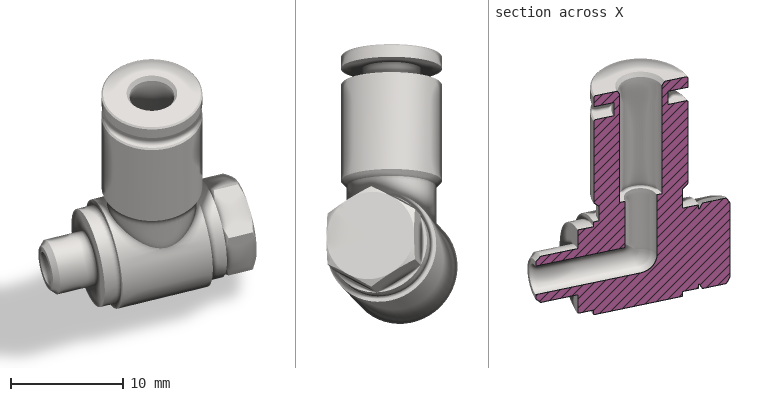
import cadquery as cq
import math

body_diameter = 10.0
body_front_y = -4.51
body_back_y = 4.0
flange_diameter = 9.0
flange_length = 1.5

stud_diameter = 5.0
stud_length = 4.0
stud_chamfer = 0.5

hex_across_flats = 8.0
hex_height = 2.98
hex_chamfer_angle = 30.0

overall_height = 23.5
top_z = overall_height - body_diameter / 2
stem_diameter = 8.0
sleeve_diameter = 9.0
sleeve_bottom_z = 6.5
sleeve_top_z = 15.93
neck_diameter = 5.2
collar_thickness = 1.2
rim_chamfer = 0.15

passage_diameter = 3.0
tube_socket_diameter = 4.0
socket_entry_diameter = 4.51
socket_entry_depth = 0.4
socket_bottom_z = sleeve_bottom_z

flange_front_y = body_front_y - flange_length
stud_end_y = flange_front_y - stud_length
flange_back_y = body_back_y + flange_length


def cylinder_y(diameter, start_y, end_y):
    """Cylinder on the Y axis between two Y positions."""
    plane = cq.Workplane("XZ", origin=(0, start_y, 0))
    return plane.circle(diameter / 2).extrude(start_y - end_y)


def cylinder_z(diameter, bottom_z, top):
    """Cylinder on the Z axis between two Z positions."""
    return cq.Workplane("XY").workplane(offset=bottom_z).circle(diameter / 2).extrude(top - bottom_z)


def make_body():
    """Banjo body with its two flanges and the stud."""
    barrel = cylinder_y(body_diameter, body_front_y, body_back_y)
    flanges = cylinder_y(flange_diameter, flange_front_y, flange_back_y)
    stud = cylinder_y(stud_diameter, stud_end_y, flange_front_y)
    stud = stud.faces("<Y").chamfer(stud_chamfer)
    return barrel.union(flanges).union(stud)


def make_hex_head():
    """Hexagon with corners up and down, bevelled conically at both ends."""
    flat_radius = hex_across_flats / 2
    corner_radius = flat_radius / math.cos(math.radians(30))
    bevel_height = (corner_radius - flat_radius) * math.tan(math.radians(hex_chamfer_angle))
    end_y = flange_back_y + hex_height
    corners = [
        (
            corner_radius * math.sin(math.radians(60 * i)),
            corner_radius * math.cos(math.radians(60 * i)),
        )
        for i in range(6)
    ]
    plane = cq.Workplane("XZ", origin=(0, flange_back_y, 0))
    prism = plane.polyline(corners).close().extrude(-hex_height)
    bevel_profile = [
        (0, flange_back_y),
        (flat_radius, flange_back_y),
        (corner_radius, flange_back_y + bevel_height),
        (corner_radius, end_y - bevel_height),
        (flat_radius, end_y),
        (0, end_y),
    ]
    envelope = cq.Workplane("XY").polyline(bevel_profile).close().revolve(360, (0, 0), (0, 1))
    return prism.intersect(envelope)


def make_connector():
    """Stem, sleeve, neck and release collar stacked along Z."""
    stem = cylinder_z(stem_diameter, 0, sleeve_bottom_z)
    sleeve = cylinder_z(sleeve_diameter, sleeve_bottom_z, sleeve_top_z)
    sleeve = sleeve.faces("<Z").chamfer((sleeve_diameter - stem_diameter) / 2)
    sleeve = sleeve.faces(">Z").chamfer(rim_chamfer)
    collar_bottom_z = top_z - collar_thickness
    neck = cylinder_z(neck_diameter, sleeve_top_z, collar_bottom_z)
    collar = cylinder_z(sleeve_diameter, collar_bottom_z, top_z).faces(">Z").chamfer(rim_chamfer)
    return stem.union(sleeve).union(neck).union(collar)


def make_passage():
    """Elbow passage with a rounded corner, tube socket and tapered entry."""
    stud_bore = cylinder_y(passage_diameter, stud_end_y, 0)
    stem_bore = cylinder_z(passage_diameter, 0, socket_bottom_z)
    corner = cq.Workplane("XY").sphere(passage_diameter / 2)
    entry_bottom_z = top_z - socket_entry_depth
    socket_profile = [
        (0, socket_bottom_z),
        (tube_socket_diameter / 2, socket_bottom_z),
        (tube_socket_diameter / 2, entry_bottom_z),
        (socket_entry_diameter / 2, top_z),
        (0, top_z),
    ]
    socket = cq.Workplane("XZ").polyline(socket_profile).close().revolve(360, (0, 0), (0, 1))
    return stud_bore.union(stem_bore).union(corner).union(socket)


result = make_body().union(make_hex_head()).union(make_connector()).cut(make_passage())